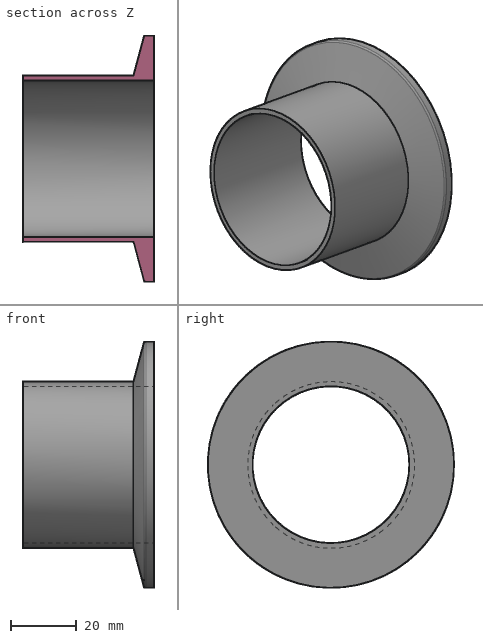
import cadquery as cq
import math

total_length = 40.0
flange_diameter = 75.0
tube_diameter = 50.8
bore_diameter = 47.6
rim_width = 3.1
cone_angle = 15.0
rim_fillet = 0.6

flange_radius = flange_diameter / 2
tube_radius = tube_diameter / 2
bore_radius = bore_diameter / 2
rim_start = total_length - rim_width
cone_depth = (flange_radius - tube_radius) * math.tan(math.radians(cone_angle))
cone_start = rim_start - cone_depth

body = (
    cq.Workplane("XY")
    .moveTo(0, bore_radius)
    .lineTo(0, tube_radius)
    .lineTo(cone_start, tube_radius)
    .lineTo(rim_start, flange_radius)
    .lineTo(total_length, flange_radius)
    .lineTo(total_length, bore_radius)
    .close()
    .revolve(360, (0, 0, 0), (1, 0, 0))
)

rim_corner = cq.selectors.BoxSelector(
    (rim_start - rim_fillet, -flange_radius - 0.75, -flange_radius - 0.75),
    (rim_start + rim_fillet, flange_radius + 0.75, flange_radius + 0.75),
    boundingbox=True,
)
result = body.edges(rim_corner).fillet(rim_fillet)